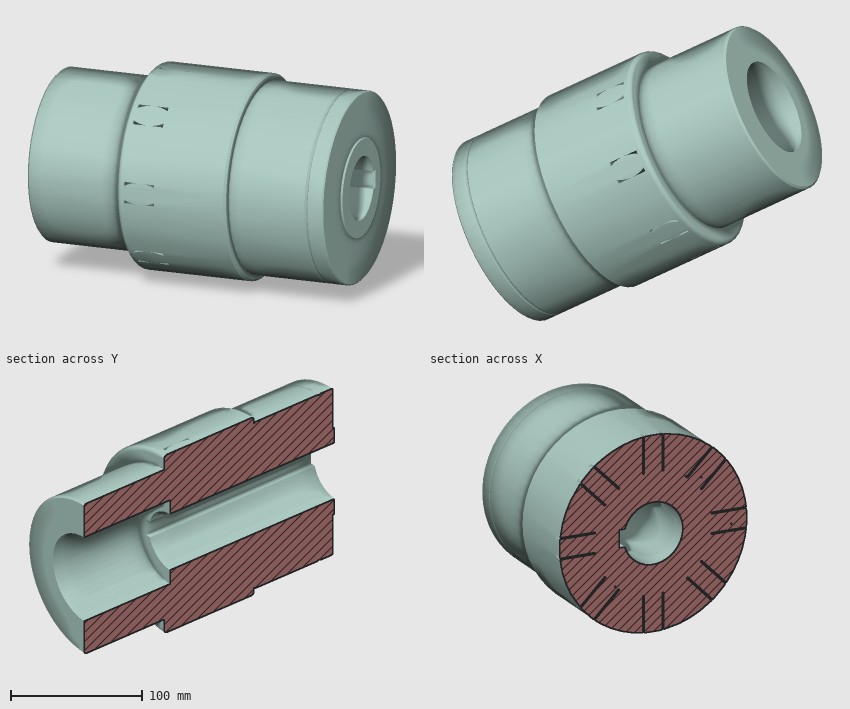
import cadquery as cq
import math

total_length = 248.0
ring_start = 78.9
ring_end = 168.1
right_hub_end = 246.5
snap_groove_start = 231.5
snap_groove_width = 2.5

ring_diameter = 160.0
ring_radius = ring_diameter / 2
left_hub_radius = 67.5
right_hub_radius = 75.0
end_boss_radius = 39.2
wide_bore_radius = 37.5
narrow_bore_radius = 25.0
snap_groove_depth = 0.7

ring_fillet = 3.5
ring_chamfer = 1.7
left_hub_chamfer = 1.5
right_hub_fillet = 1.7
right_hub_chamfer = 1.0
boss_chamfer = 0.7

key_width = 14.1
key_top = 28.5

pad_count = 8
pad_start = 84.8
pad_length = 24.8
pad_width = 17.4
pad_end_width = 11.0
window_floor_radius = 49.5

wide_bore_depth = pad_start


def make_body():
    """Revolve the stepped outer profile; local Y of the profile is the radius."""
    inset_ratio = 1 - math.sqrt(0.5)
    ring_fillet_inset = ring_fillet * inset_ratio
    hub_fillet_inset = right_hub_fillet * inset_ratio
    groove_middle = snap_groove_start + snap_groove_width / 2
    groove_end = snap_groove_start + snap_groove_width
    groove_radius = right_hub_radius - snap_groove_depth
    profile = (
        cq.Workplane("XY")
        .lineTo(0, left_hub_radius - left_hub_chamfer)
        .lineTo(left_hub_chamfer, left_hub_radius)
        .lineTo(ring_start, left_hub_radius)
        .lineTo(ring_start, ring_radius - ring_fillet)
        .threePointArc(
            (ring_start + ring_fillet_inset, ring_radius - ring_fillet_inset),
            (ring_start + ring_fillet, ring_radius),
        )
        .lineTo(ring_end - ring_chamfer, ring_radius)
        .lineTo(ring_end, ring_radius - ring_chamfer)
        .lineTo(ring_end, right_hub_radius - right_hub_fillet)
        .threePointArc(
            (ring_end + hub_fillet_inset, right_hub_radius - hub_fillet_inset),
            (ring_end + right_hub_fillet, right_hub_radius),
        )
        .lineTo(snap_groove_start, right_hub_radius)
        .threePointArc((groove_middle, groove_radius), (groove_end, right_hub_radius))
        .lineTo(right_hub_end - right_hub_chamfer, right_hub_radius)
        .lineTo(right_hub_end, right_hub_radius - right_hub_chamfer)
        .lineTo(right_hub_end, end_boss_radius)
        .lineTo(total_length - boss_chamfer, end_boss_radius)
        .lineTo(total_length, end_boss_radius - boss_chamfer)
        .lineTo(total_length, 0)
        .close()
    )
    return profile.revolve(360, (0, 0, 0), (1, 0, 0))


def make_bore():
    """Wide bore in the left hub, then a narrow keyed bore through the rest."""
    wide_bore = cq.Workplane("YZ").circle(wide_bore_radius).extrude(wide_bore_depth)
    narrow_bore = cq.Workplane("YZ").circle(narrow_bore_radius).extrude(total_length)
    keyway = (
        cq.Workplane("YZ")
        .center(key_top / 2, 0)
        .rect(key_top, key_width)
        .extrude(total_length)
    )
    return wide_bore.union(narrow_bore).union(keyway)


def make_corner_gap(end, side):
    """Sliver between the window wall and one quarter of a pad, on the +Z pad."""
    middle_x = pad_start + pad_length / 2
    end_x = middle_x + end * pad_length / 2
    wall_y = side * pad_width / 2
    pad_end_y = side * pad_end_width / 2
    bulge = (pad_width - pad_end_width) / 2
    flank_radius = (pad_length**2 / 4 + bulge**2) / (2 * bulge)
    flank_center_y = wall_y - side * flank_radius
    half_angle = math.asin(pad_length / 2 / flank_radius) / 2
    flank_mid = (
        middle_x + end * flank_radius * math.sin(half_angle),
        flank_center_y + side * flank_radius * math.cos(half_angle),
    )
    return (
        cq.Workplane("XY")
        .workplane(offset=window_floor_radius)
        .moveTo(middle_x, wall_y)
        .threePointArc(flank_mid, (end_x, pad_end_y))
        .lineTo(end_x, wall_y)
        .close()
        .extrude(ring_radius - window_floor_radius)
    )


result = make_body().cut(make_bore())
for end in (1, -1):
    for side in (1, -1):
        corner_gap = make_corner_gap(end, side)
        for pad in range(pad_count):
            pad_angle = pad * 360 / pad_count
            result = result.cut(corner_gap.rotate((0, 0, 0), (1, 0, 0), pad_angle))